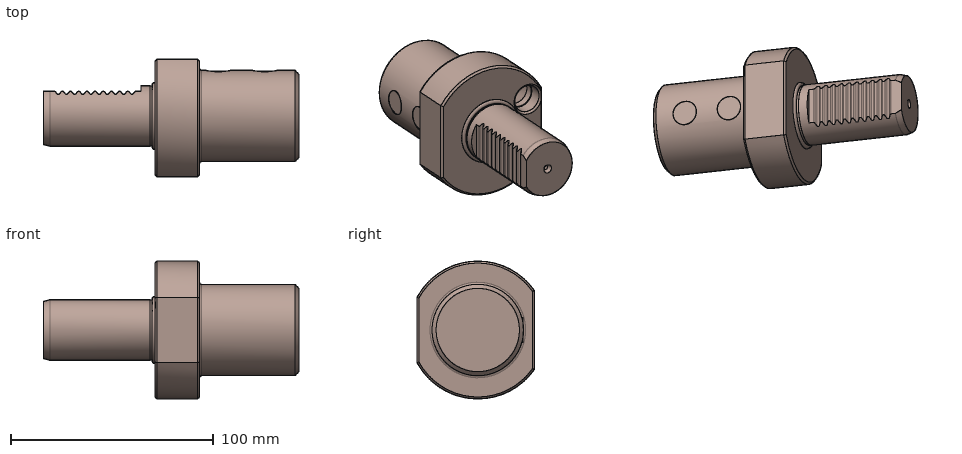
import cadquery as cq
import math

TOTAL_LENGTH = 126.0

SHANK_RADIUS = 15.0
SHANK_CHAMFER_LENGTH = 3.2
SHANK_CHAMFER_DEPTH = 0.9
FLAT_HEIGHT = 12.2
FLAT_LENGTH = 48.0
GROOVE_COUNT = 10
GROOVE_PITCH = 4.0
GROOVE_DEPTH = 1.5
GROOVE_HALF_ANGLE = math.radians(40)
FIRST_GROOVE_X = 7.3
CUTTER_CLEARANCE = 1.3

RELIEF_START = 52.5
RELIEF_RADIUS = 14.9

FLANGE_START = 54.9
FLANGE_END = 77.0
FLANGE_RADIUS = 34.0
FLANGE_FRONT_Y = -30.0
FLANGE_BACK_Y = 28.0
FLANGE_CHAMFER = 1.0

SLEEVE_RADIUS = 22.5
SLEEVE_ROOT_FILLET = 1.0
SLEEVE_END_CHAMFER = 2.0

CENTRE_MOUTH_RADIUS = 2.1
CENTRE_PILOT_RADIUS = 1.0
CENTRE_PILOT_LENGTH = 2.5
CENTRE_HALF_ANGLE = math.radians(30)

COOLANT_Y = -21.5
COOLANT_Z = 12.2
COOLANT_RADIUS = 6.9
COOLANT_MOUTH_RADIUS = 8.0
COOLANT_WIDE_DEPTH = 7.8
COOLANT_CORE_RADIUS = 6.5
COOLANT_CORE_DEPTH = 12.0
COOLANT_TIP_HALF_ANGLE = math.radians(59)

RING_SECTION_RADIUS = 1.3
RING_OUTER_RADIUS = 16.5
RING_X = 54.8

SCREW_RADIUS = 6.0
SCREW_LENGTH = 11.3
SCREW_RECESS = 0.4
SCREW_POSITIONS = (86.2, 109.1)


def revolve_about_x(profile_points):
    """Solid of revolution about X from a closed (x, radius) outline."""
    outline = cq.Workplane("XY").polyline(profile_points).close()
    return outline.revolve(360, (0, 0, 0), (1, 0, 0))


def cylinder_along_y(x, y_start, y_end, radius):
    """Cylinder parallel to Y between two heights."""
    axis_start = cq.Vector(x, y_start, 0)
    solid = cq.Solid.makeCylinder(radius, y_end - y_start, axis_start, cq.Vector(0, 1, 0))
    return cq.Workplane(solid)


def make_shank():
    """Shank with its end chamfer and root relief, reaching the flange face."""
    return revolve_about_x([
        (0, 0),
        (0, SHANK_RADIUS - SHANK_CHAMFER_DEPTH),
        (SHANK_CHAMFER_LENGTH, SHANK_RADIUS),
        (RELIEF_START, SHANK_RADIUS),
        (RELIEF_START, RELIEF_RADIUS),
        (FLANGE_START, RELIEF_RADIUS),
        (FLANGE_START, 0),
    ])


def make_flange():
    """Disc with two flats, chamfered around both faces."""
    thickness = FLANGE_END - FLANGE_START
    disc = cq.Workplane("YZ", origin=(FLANGE_START, 0, 0)).circle(FLANGE_RADIUS).extrude(thickness)
    between_flats = cq.Workplane("XY").box(
        thickness, FLANGE_BACK_Y - FLANGE_FRONT_Y, 2 * FLANGE_RADIUS, centered=(False, False, True)
    ).translate((FLANGE_START, FLANGE_FRONT_Y, 0))
    return disc.intersect(between_flats).faces("<X or >X").edges().chamfer(FLANGE_CHAMFER)


def make_sleeve():
    """Sleeve with a root fillet at the flange and a chamfered free end."""
    fillet_top = SLEEVE_RADIUS + SLEEVE_ROOT_FILLET
    fillet_end = FLANGE_END + SLEEVE_ROOT_FILLET
    arc_offset = SLEEVE_ROOT_FILLET * (1 - math.sqrt(0.5))
    outline = (
        cq.Workplane("XY")
        .moveTo(FLANGE_END, 0)
        .lineTo(FLANGE_END, fillet_top)
        .threePointArc((FLANGE_END + arc_offset, SLEEVE_RADIUS + arc_offset), (fillet_end, SLEEVE_RADIUS))
        .lineTo(TOTAL_LENGTH - SLEEVE_END_CHAMFER, SLEEVE_RADIUS)
        .lineTo(TOTAL_LENGTH, SLEEVE_RADIUS - SLEEVE_END_CHAMFER)
        .lineTo(TOTAL_LENGTH, 0)
        .close()
    )
    return outline.revolve(360, (0, 0, 0), (1, 0, 0))


def make_flat_cutter():
    """Everything above the toothed flat: a row of grooves with equally rounded roots and crests."""
    clear_height = SHANK_RADIUS + CUTTER_CLEARANCE
    root_y = FLAT_HEIGHT - GROOVE_DEPTH
    half_pitch = GROOVE_PITCH / 2

    sine = math.sin(GROOVE_HALF_ANGLE)
    cosine = math.cos(GROOVE_HALF_ANGLE)
    slope = math.tan(GROOVE_HALF_ANGLE)
    radius = (half_pitch - GROOVE_DEPTH * slope) / (2 * (cosine - (1 - sine) * slope))
    arc_width = radius * cosine
    arc_height = radius * (1 - sine)

    half_turn = (math.pi / 2 - GROOVE_HALF_ANGLE) / 2
    mid_width = radius * math.sin(half_turn)
    mid_drop = radius * (1 - math.cos(half_turn))

    outline = cq.Workplane("XY").moveTo(0, clear_height).lineTo(0, FLAT_HEIGHT)
    outline = outline.lineTo(FIRST_GROOVE_X - half_pitch, FLAT_HEIGHT)
    for index in range(GROOVE_COUNT):
        x = FIRST_GROOVE_X + index * GROOVE_PITCH
        left_crest = x - half_pitch
        right_crest = x + half_pitch
        outline = (
            outline.threePointArc(
                (left_crest + mid_width, FLAT_HEIGHT - mid_drop),
                (left_crest + arc_width, FLAT_HEIGHT - arc_height),
            )
            .lineTo(x - arc_width, root_y + arc_height)
            .threePointArc((x, root_y), (x + arc_width, root_y + arc_height))
            .lineTo(right_crest - arc_width, FLAT_HEIGHT - arc_height)
            .threePointArc((right_crest - mid_width, FLAT_HEIGHT - mid_drop), (right_crest, FLAT_HEIGHT))
        )
    outline = outline.lineTo(FLAT_LENGTH, FLAT_HEIGHT).lineTo(FLAT_LENGTH, clear_height).close()
    return outline.extrude(SHANK_RADIUS, both=True)


def make_centre_hole():
    """Conical centre hole with a small pilot bore."""
    cone_depth = (CENTRE_MOUTH_RADIUS - CENTRE_PILOT_RADIUS) / math.tan(CENTRE_HALF_ANGLE)
    pilot_end = cone_depth + CENTRE_PILOT_LENGTH
    return revolve_about_x([
        (0, 0),
        (0, CENTRE_MOUTH_RADIUS),
        (cone_depth, CENTRE_PILOT_RADIUS),
        (pilot_end, CENTRE_PILOT_RADIUS),
        (pilot_end, 0),
    ])


def make_coolant_hole():
    """Countersunk blind hole, stepped down to a slightly narrower core with a drill-point bottom."""
    countersink = COOLANT_MOUTH_RADIUS - COOLANT_RADIUS
    tip_length = COOLANT_CORE_RADIUS / math.tan(COOLANT_TIP_HALF_ANGLE)
    hole = revolve_about_x([
        (0, 0),
        (0, COOLANT_MOUTH_RADIUS),
        (countersink, COOLANT_RADIUS),
        (COOLANT_WIDE_DEPTH, COOLANT_RADIUS),
        (COOLANT_WIDE_DEPTH, COOLANT_CORE_RADIUS),
        (COOLANT_CORE_DEPTH, COOLANT_CORE_RADIUS),
        (COOLANT_CORE_DEPTH + tip_length, 0),
    ])
    return hole.translate((FLANGE_START, COOLANT_Y, COOLANT_Z))


def make_screw_hole(x):
    """Blind hole from the +Y side of the sleeve, ending at the tip of its screw."""
    floor_y = SLEEVE_RADIUS - SCREW_RECESS - SCREW_LENGTH
    return cylinder_along_y(x, floor_y, SLEEVE_RADIUS, SCREW_RADIUS)


def make_housing():
    """Shank, flange and sleeve in one piece, with seats for the ring and the screws."""
    body = make_shank().union(make_flange()).union(make_sleeve())
    body = body.cut(make_flat_cutter()).cut(make_centre_hole()).cut(make_coolant_hole())
    body = body.cut(make_seal_ring())
    for x in SCREW_POSITIONS:
        body = body.cut(make_screw_hole(x))
    return body


def make_seal_ring():
    """O-ring around the root of the shank, partly sunk into the shank and the flange face."""
    centre_radius = RING_OUTER_RADIUS - RING_SECTION_RADIUS
    torus = cq.Solid.makeTorus(
        centre_radius, RING_SECTION_RADIUS, cq.Vector(RING_X, 0, 0), cq.Vector(1, 0, 0)
    )
    return cq.Workplane(torus)


def make_clamping_screw(x):
    """Plain headless screw sunk just below the sleeve surface."""
    top_y = SLEEVE_RADIUS - SCREW_RECESS
    return cylinder_along_y(x, top_y - SCREW_LENGTH, top_y, SCREW_RADIUS)


housing = make_housing()
seal_ring = make_seal_ring()
clamping_screws = [make_clamping_screw(x) for x in SCREW_POSITIONS]

result = cq.Compound.makeCompound([
    housing.val(),
    seal_ring.val(),
    *[screw.val() for screw in clamping_screws],
])